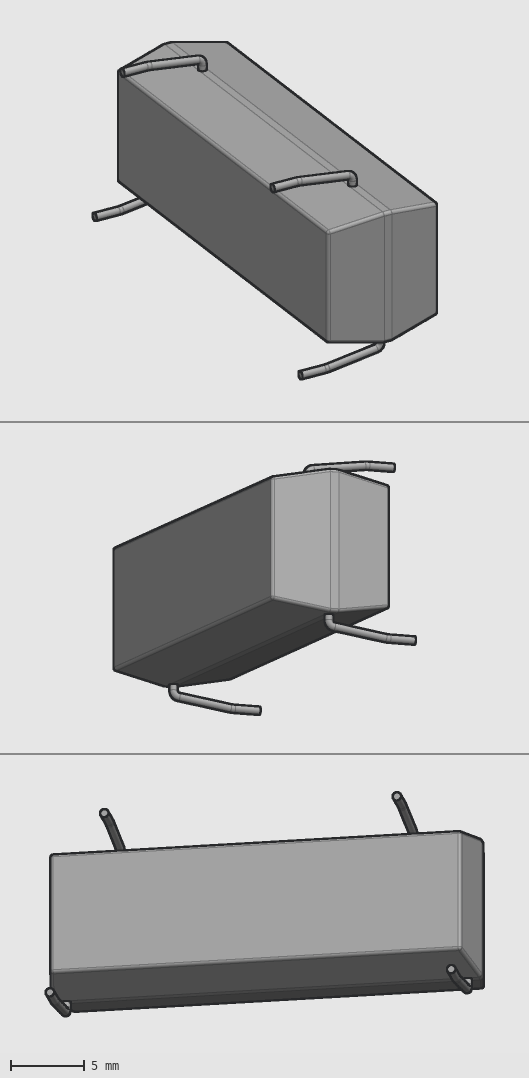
import cadquery as cq
import math

LENGTH = 30.0
HEIGHT = 10.0
DEPTH = 8.75
BAND_WIDTH = 0.6
DRAFT_ANGLE = 10.0
EDGE_RADIUS = 0.25

LEAD_DIAMETER = 0.6
LEAD_SPAN_Z = 13.3
LEAD_TIP_Y = -6.33
ELBOW_Z = 5.75
KNEE_Y = -4.32
ELBOW_RADIUS = 0.42
KNEE_RADIUS = 2.25
UPPER_LEAD_X = 10.17
LOWER_LEAD_X = 13.95

BAND_HALF = BAND_WIDTH / 2
LEAD_ROOT_Z = HEIGHT / 2
LEAD_TIP_Z = (LEAD_SPAN_Z - LEAD_DIAMETER) / 2


def make_housing():
    taper_depth = (DEPTH - BAND_WIDTH) / 2

    def tapered_half(direction):
        return (
            cq.Workplane("XZ", origin=(0, direction * BAND_HALF, 0))
            .rect(LENGTH, HEIGHT)
            .extrude(-direction * taper_depth, taper=DRAFT_ANGLE)
        )

    band = cq.Workplane("XY").box(LENGTH, BAND_WIDTH, HEIGHT)
    body = band.union(tapered_half(1)).union(tapered_half(-1))
    rim_edges = body.faces("<Y or >Y").edges()
    corner_edges = body.edges("not(#Y)")
    return rim_edges.add(corner_edges).fillet(EDGE_RADIUS)


def make_lead_shape():
    """Upper lead at X = 0, swept along a path in the YZ plane."""
    slope = math.atan2(LEAD_TIP_Z - ELBOW_Z, -KNEE_Y)
    elbow_turn = math.pi / 2 - slope
    elbow_setback = ELBOW_RADIUS * math.tan(elbow_turn / 2)
    knee_setback = KNEE_RADIUS * math.tan(slope / 2)
    run_y = -math.cos(slope)
    run_z = math.sin(slope)

    elbow_start = (0, ELBOW_Z - elbow_setback)
    elbow_end = (elbow_setback * run_y, ELBOW_Z + elbow_setback * run_z)
    knee_start = (KNEE_Y - knee_setback * run_y, LEAD_TIP_Z - knee_setback * run_z)
    knee_end = (KNEE_Y - knee_setback, LEAD_TIP_Z)

    path = (
        cq.Workplane("YZ")
        .moveTo(0, LEAD_ROOT_Z)
        .lineTo(*elbow_start)
        .tangentArcPoint(elbow_end, relative=False)
        .lineTo(*knee_start)
        .tangentArcPoint(knee_end, relative=False)
        .lineTo(LEAD_TIP_Y, LEAD_TIP_Z)
    )
    return (
        cq.Workplane("XY", origin=(0, 0, LEAD_ROOT_Z))
        .circle(LEAD_DIAMETER / 2)
        .sweep(path)
    )


def make_leads():
    upper_shape = make_lead_shape()
    lower_shape = upper_shape.mirror("XY")
    leads = []
    for side in (-1, 1):
        leads.append(upper_shape.translate((side * UPPER_LEAD_X, 0, 0)).val())
        leads.append(lower_shape.translate((side * LOWER_LEAD_X, 0, 0)).val())
    return leads


housing = make_housing()
leads = make_leads()

result = cq.Compound.makeCompound([housing.val(), *leads])